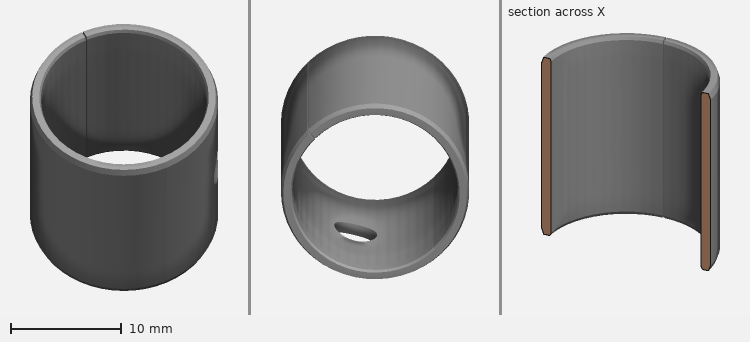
import cadquery as cq
import math

length = 18.0
outer_diameter = 17.0
inner_diameter = 15.0
outer_chamfer_length = 0.6
outer_chamfer_depth = 0.22
inner_chamfer_length = 0.3
inner_chamfer_depth = 0.15
slit_width = 0.15
slit_offset = 0.07
oil_hole_diameter = 4.0
oil_hole_angle = 59.0

outer_radius = outer_diameter / 2
inner_radius = inner_diameter / 2
half_length = length / 2


def bushing_wall():
    """Revolve the wall section, with both ends chamfered inside and outside."""
    section = [
        (inner_radius, half_length - inner_chamfer_length),
        (inner_radius + inner_chamfer_depth, half_length),
        (outer_radius - outer_chamfer_depth, half_length),
        (outer_radius, half_length - outer_chamfer_length),
        (outer_radius, -half_length + outer_chamfer_length),
        (outer_radius - outer_chamfer_depth, -half_length),
        (inner_radius + inner_chamfer_depth, -half_length),
        (inner_radius, -half_length + inner_chamfer_length),
    ]
    return cq.Workplane("XZ").polyline(section).close().revolve(360, (0, 0, 0), (0, 1, 0))


def slit():
    """Full-length butt joint through the wall on the -X side."""
    cutter = cq.Workplane("XY").box(outer_radius, slit_width, length)
    return cutter.translate((-outer_radius, slit_offset, 0))


def oil_hole():
    """Radial hole at mid-length through one side of the wall."""
    angle = math.radians(oil_hole_angle)
    direction = cq.Vector(math.cos(angle), math.sin(angle), 0)
    drill = cq.Solid.makeCylinder(oil_hole_diameter / 2, outer_diameter, cq.Vector(0, 0, 0), direction)
    return cq.Workplane(obj=drill)


result = bushing_wall().cut(slit()).cut(oil_hole())